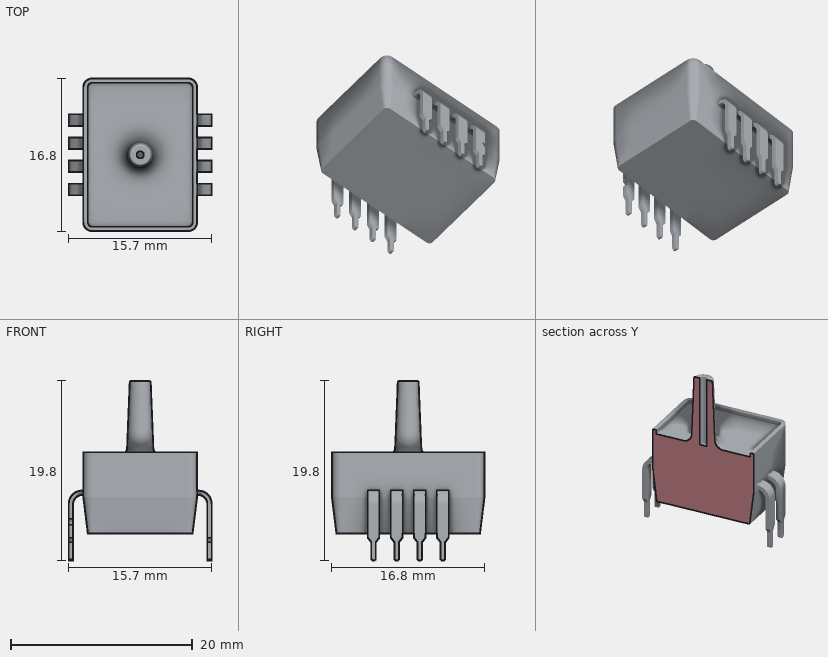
import math

import cadquery as cq


body_x = 12.54
body_y = 16.81
body_height = 8.97
corner_radius = 1.0
taper_height = 4.02
taper_inset = 0.5

rim_width = 0.5
recess_depth = 0.5
floor_z = body_height - recess_depth

port_top_z = 16.79
port_foot_radius = 2.46
port_flare_radius = 1.0
port_draft = 2.3
port_tip_round = 0.2
port_embed = 0.5
bore_diameter = 0.8

overall_x = 15.74
lead_thickness = 0.5
lead_width = 1.3
lead_pitch = 2.54
leads_per_side = 4
lead_top_z = 4.75
bend_radius = 1.5
lead_embed = 1.0
pin_width = 0.52
shoulder_z = -0.44
pin_start_z = -0.95
pin_tip_z = -2.97
pin_tip_chamfer = 0.16

notch_radius = 0.35
notch_z = 1.3


def make_body():
    """Straight-walled upper half on a lower half that tapers towards the underside."""
    outline = (
        cq.Sketch()
        .rect(body_x, body_y)
        .vertices()
        .fillet(corner_radius)
    )
    split = cq.Workplane("XY", origin=(0, 0, taper_height))
    upper = split.placeSketch(outline).extrude(body_height - taper_height)
    taper_angle = math.degrees(math.atan2(taper_inset, taper_height))
    lower = split.placeSketch(outline).extrude(-taper_height, taper=taper_angle)
    return upper.union(lower)


def make_recess():
    """Shallow pocket that leaves an even rim around the top face."""
    return (
        cq.Workplane("XY", origin=(0, 0, floor_z))
        .rect(body_x - 2 * rim_width, body_y - 2 * rim_width)
        .extrude(recess_depth)
        .edges("|Z")
        .fillet(corner_radius - rim_width)
    )


def make_port():
    """Conical tube that flares tangentially into the recess floor."""
    draft = math.radians(port_draft)

    def flare_point(angle):
        """Point on the flare arc, angle measured down from the horizontal."""
        r = port_foot_radius - port_flare_radius * math.cos(angle)
        z = floor_z + port_flare_radius * (1 - math.sin(angle))
        return r, z

    flare_end = flare_point(draft)
    flare_middle = flare_point((draft + math.pi / 2) / 2)
    tip_radius = flare_end[0] - (port_top_z - flare_end[1]) * math.tan(draft)
    root_z = floor_z - port_embed

    return (
        cq.Workplane("XZ")
        .moveTo(0, root_z)
        .lineTo(port_foot_radius, root_z)
        .lineTo(port_foot_radius, floor_z)
        .threePointArc(flare_middle, flare_end)
        .lineTo(tip_radius, port_top_z)
        .lineTo(0, port_top_z)
        .close()
        .revolve(360, (0, 0, 0), (0, 1, 0))
        .faces(">Z")
        .edges()
        .fillet(port_tip_round)
    )


def make_bore():
    """Blind bore running the length of the port."""
    return (
        cq.Workplane("XY", origin=(0, 0, floor_z))
        .circle(bore_diameter / 2)
        .extrude(port_top_z - floor_z)
    )


def make_lead():
    """One lead of the -X row, centred on Y = 0."""
    outer_x = -overall_x / 2
    inner_x = outer_x + lead_thickness
    bend_x = outer_x + bend_radius
    bend_z = lead_top_z - bend_radius
    inner_bend = bend_radius - lead_thickness
    root_x = -body_x / 2 + lead_embed
    diagonal = math.sqrt(0.5)

    strip = (
        cq.Workplane("XZ")
        .moveTo(outer_x, pin_tip_z)
        .lineTo(outer_x, bend_z)
        .threePointArc(
            (bend_x - bend_radius * diagonal, bend_z + bend_radius * diagonal),
            (bend_x, lead_top_z),
        )
        .lineTo(root_x, lead_top_z)
        .lineTo(root_x, lead_top_z - lead_thickness)
        .lineTo(bend_x, lead_top_z - lead_thickness)
        .threePointArc(
            (bend_x - inner_bend * diagonal, bend_z + inner_bend * diagonal),
            (inner_x, bend_z),
        )
        .lineTo(inner_x, pin_tip_z)
        .close()
        .extrude(lead_width / 2, both=True)
    )

    half_lead = lead_width / 2
    half_pin = pin_width / 2
    half_tip = half_pin - pin_tip_chamfer
    right_side = [
        (half_tip, pin_tip_z),
        (half_pin, pin_tip_z + pin_tip_chamfer),
        (half_pin, pin_start_z),
        (half_lead, shoulder_z),
        (half_lead, lead_top_z),
    ]
    left_side = [(-y, z) for y, z in reversed(right_side)]
    blade = (
        cq.Workplane("YZ", origin=(outer_x, 0, 0))
        .polyline(right_side + left_side)
        .close()
        .extrude(root_x - outer_x)
    )
    return strip.intersect(blade)


def make_notch(lead_y):
    """Cutter for the half-round notch in the -Y edge of the lead at lead_y."""
    return (
        cq.Workplane("YZ", origin=(-overall_x / 2, lead_y - lead_width / 2, notch_z))
        .circle(notch_radius)
        .extrude(lead_thickness)
    )


result = make_body().cut(make_recess()).union(make_port()).cut(make_bore())

lead = make_lead()
first_lead_y = -lead_pitch * (leads_per_side - 1) / 2
for index in range(leads_per_side):
    lead_y = first_lead_y + index * lead_pitch
    left_lead = lead.translate((0, lead_y, 0))
    result = result.union(left_lead).union(left_lead.mirror("YZ"))

result = result.cut(make_notch(first_lead_y))